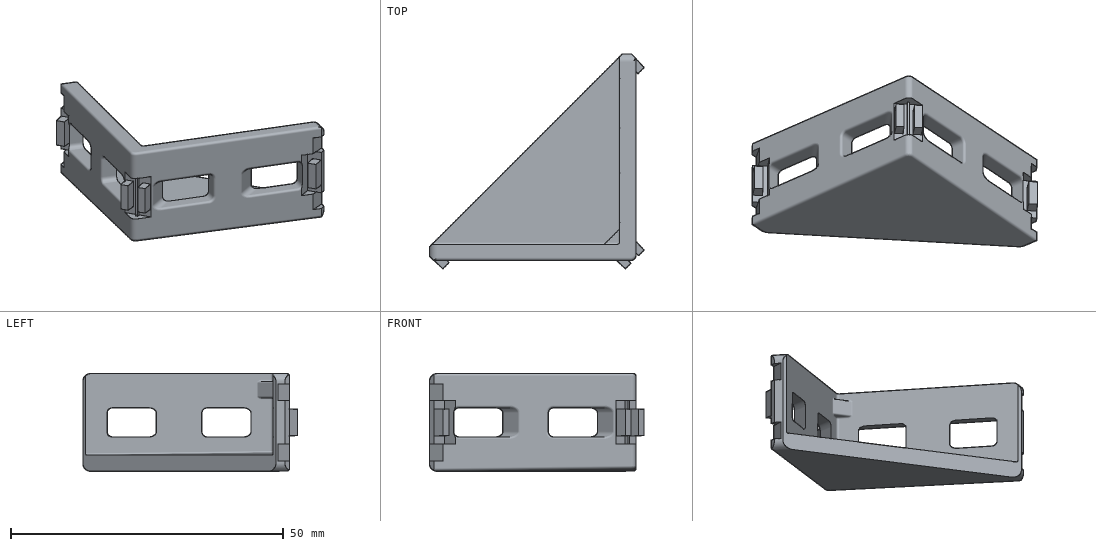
import cadquery as cq
import math


leg = 38.0
height = 18.0
wall = 3.0
floor_thickness = 3.0
floor_draft = 1.0
brace_offset = 2.5
end_chamfer = 0.85
end_radius = 1.5
corner_radius = 1.0
rim_radius = 0.5
inner_corner_radius = 0.5
inner_fillet = 0.3
mid_z = height / 2

slot_length = 9.0
slot_height = 5.3
slot_radius = 0.95
slot_lip_radius = 0.43
slot_starts = (4.5, 21.9)

notch_height = 8.0
notch_bottom = mid_z - notch_height / 2
latch_height = 5.0
latch_draft = 2.0
latch_overhang = 1.5
end_latch_width = 1.62
end_latch_tip = 2.5
end_notch_reach = 4.8
corner_latch_width = 1.45
corner_latch_tip = 1.95
corner_cut = 3.7
corner_rib_width = 0.42
corner_rib_height = 0.7

pad_span = 14.2
pad_leg_outer = 2.48
pad_leg_end = 2.08

gusset_leg = 2.85
gusset_bottom = 13.5
gusset_height = 3.0

DIAGONAL = math.sqrt(0.5)
OUTWARD = (DIAGONAL, -DIAGONAL, 0)
ALONG = (DIAGONAL, DIAGONAL, 0)
MIRROR_NORMAL = cq.Vector(1, 1, 0)


def prism(points, bottom, tall):
    """Upright prism over a plan outline."""
    return cq.Workplane("XY", origin=(0, 0, bottom)).polyline(points).close().extrude(tall)


def mirrored(shape):
    """The same shape on the other wall."""
    return shape.mirror(MIRROR_NORMAL)


def above_tilted_plane(z):
    """Large block above the drafted plane that passes the long edge at height z."""
    tilt = math.radians(floor_draft)
    middle = (leg + brace_offset) / 2
    normal = (-math.sin(tilt) * DIAGONAL, math.sin(tilt) * DIAGONAL, math.cos(tilt))
    plane = cq.Plane(origin=(-middle, middle, z), xDir=ALONG, normal=normal)
    return cq.Workplane(plane).rect(4 * leg, 4 * leg).extrude(2 * height)


def end_rounding():
    """Tall slab whose corners round the end of the wall along X, top and bottom."""
    slab = cq.Workplane("XY").box(2 * leg, 4 * leg, height).edges("|Y").fillet(end_radius)
    return slab.translate((0, 0, mid_z))


def make_block():
    """Solid triangular bracket with rounded outer edges."""
    block = prism(
        [(-leg, 0), (0, 0), (0, leg), (-brace_offset, leg), (-leg, brace_offset)], 0, height
    )
    block = block.intersect(above_tilted_plane(0))
    outer_corner = cq.selectors.NearestToPointSelector((0, 0, mid_z))
    block = block.edges(outer_corner).fillet(corner_radius)
    front_rim = block.faces("<Y").edges("not |Z")
    side_rim = block.faces(">X").edges("not |Z")
    block = front_rim.add(side_rim).fillet(rim_radius)
    chamfer = prism([(-leg, 0), (-leg + end_chamfer, 0), (-leg, end_chamfer)], 0, height)
    block = block.cut(chamfer).cut(mirrored(chamfer))
    return block.intersect(end_rounding()).intersect(mirrored(end_rounding()))


def make_cavity():
    """Space between the two walls above the floor."""
    cavity = prism([(-2 * leg, wall), (-wall, wall), (-wall, 2 * leg)], 0, 2 * height)
    cavity = cavity.intersect(above_tilted_plane(floor_thickness))
    inner_corner = cq.selectors.NearestToPointSelector((-wall, wall, mid_z))
    cavity = cavity.edges(inner_corner).fillet(inner_corner_radius)
    return cavity.faces("<Z").edges().fillet(inner_fillet)


def make_slot(start):
    """Round-cornered slot whose side nearest the corner slants out at 45 degrees."""
    near = -leg + start
    far = near + slot_length
    outline = [(near, 0), (far + wall, 0), (far, wall), (near, wall)]
    slot = prism(outline, mid_z - slot_height / 2, slot_height)
    return slot.edges("not(|X or |Z)").fillet(slot_radius)


def cut_slots(bracket):
    """Cut both slots of both walls and round their outer lips."""
    for start in slot_starts:
        slot = make_slot(start)
        bracket = bracket.cut(slot).cut(mirrored(slot))
    front_lips = bracket.faces("<Y").vals()[0].innerWires()
    side_lips = bracket.faces(">X").vals()[0].innerWires()
    lip_edges = [edge for lip in front_lips + side_lips for edge in lip.Edges()]
    return bracket.newObject(lip_edges).fillet(slot_lip_radius)


def latch_plane(x, y):
    """Work plane through a plan point at mid height, facing OUTWARD."""
    return cq.Plane(origin=(x, y, mid_z), xDir=ALONG, normal=OUTWARD)


def make_latch(tip_x, width, foot):
    """Drafted bar that points along OUTWARD from the plane at distance foot from the Z axis.

    (tip_x, -latch_overhang) is the tip corner standing furthest out of the wall.
    """
    length = (tip_x + latch_overhang) * DIAGONAL - foot
    draft_growth = 2 * length * math.tan(math.radians(latch_draft))
    middle_shift = width / 2 * DIAGONAL
    base_x = tip_x + middle_shift - length * DIAGONAL
    base_y = -latch_overhang + middle_shift + length * DIAGONAL
    base = cq.Workplane(latch_plane(base_x, base_y)).rect(width + draft_growth, latch_height)
    return base.extrude(length, taper=latch_draft)


def add_end_details(bracket):
    """Notch, latch and shallow pads at the end of each wall."""
    near = -leg + end_chamfer
    far = -leg + end_notch_reach
    depth = (far - near) / 2
    notch_outline = [(near, 0), (far, 0), (near + depth, depth)]
    notch = prism(notch_outline, notch_bottom, notch_height)
    pad_height = (pad_span - notch_height) / 2
    pad_outline = [(-leg, 0), (-leg + pad_leg_outer, 0), (-leg, pad_leg_end)]
    lower_pad = prism(pad_outline, mid_z - pad_span / 2, pad_height)
    upper_pad = prism(pad_outline, notch_bottom + notch_height, pad_height)
    for cutter in (notch, lower_pad, upper_pad):
        bracket = bracket.cut(cutter).cut(mirrored(cutter))
    latch = make_latch(-leg + end_latch_tip, end_latch_width, near * DIAGONAL)
    return bracket.union(latch).union(mirrored(latch))


def add_corner_details(bracket):
    """Flat cut across the outer corner with its central rib and two latches."""
    cut = prism([(-corner_cut, 0), (0, 0), (0, corner_cut)], notch_bottom, notch_height)
    latch = make_latch(-corner_latch_tip, corner_latch_width, -corner_cut * DIAGONAL)
    rib_base = cq.Workplane(latch_plane(-corner_cut / 2, corner_cut / 2))
    rib = rib_base.rect(corner_rib_width, notch_height).extrude(corner_rib_height)
    return bracket.cut(cut).union(rib).union(latch).union(mirrored(latch))


def add_gusset(bracket):
    """Small filleted web across the inner corner."""
    tip = wall + gusset_leg
    root = wall / 2
    outline = [(-tip, wall), (-tip, root), (-root, root), (-root, tip), (-wall, tip)]
    bracket = bracket.union(prism(outline, gusset_bottom, gusset_height))
    reach = tip + inner_fillet
    around = cq.selectors.BoxSelector(
        (-reach, wall - inner_fillet, gusset_bottom - inner_fillet),
        (-wall + inner_fillet, reach, gusset_bottom + gusset_height + inner_fillet),
        boundingbox=True,
    )
    return bracket.edges(around).fillet(inner_fillet)


bracket = make_block().cut(make_cavity())
bracket = cut_slots(bracket)
bracket = add_end_details(bracket)
bracket = add_corner_details(bracket)
result = add_gusset(bracket)